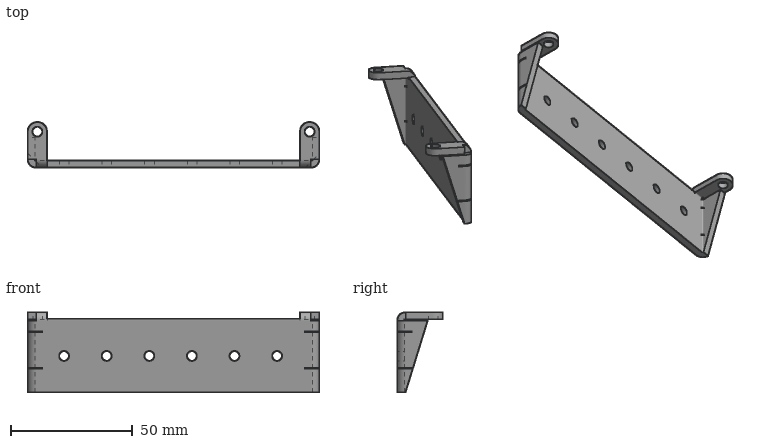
import cadquery as cq
import math

length = 120.0
depth = 18.8
height = 33.0

sheet = 3.0
bend_radius = 3.5
inner_radius = bend_radius - sheet
wall_top = height - bend_radius

flange_depth = 12.6
ear_width = 8.0
lip_top = 30.4

hole_diameter = 4.0
wall_hole_count = 6
first_hole_x = 15.0
hole_pitch = 17.5
wall_hole_z = 15.0

slit_levels = (10.0, 25.0)
slit_height = 0.5
slit_reach = 6.0


def mirrored(half):
    """Join a left-hand feature with its copy at the right-hand end."""
    plane_point = (length / 2, 0, 0)
    return half.union(half.mirror("YZ", plane_point))


def bend_section(plane):
    """Quarter ring whose outer arc is tangent to both local axes."""
    diagonal = math.sqrt(0.5)
    outer_middle = bend_radius - bend_radius * diagonal
    inner_middle = bend_radius - inner_radius * diagonal
    return (
        cq.Workplane(plane)
        .moveTo(0, bend_radius)
        .threePointArc((outer_middle, outer_middle), (bend_radius, 0))
        .lineTo(bend_radius, sheet)
        .threePointArc((inner_middle, inner_middle), (sheet, bend_radius))
        .close()
    )


def make_wall():
    flat_length = length - 2 * bend_radius
    return cq.Workplane("XY").box(flat_length, sheet, wall_top, centered=False).translate((bend_radius, 0, 0))


def make_flange():
    """Vertical corner bend and the tapered flange behind it."""
    bend = bend_section("XY").extrude(wall_top)
    flange = (
        cq.Workplane("YZ")
        .moveTo(bend_radius, 0)
        .lineTo(flange_depth, wall_top)
        .lineTo(bend_radius, wall_top)
        .close()
        .extrude(sheet)
    )
    return bend.union(flange)


def make_top_bend():
    """Bend along the wall top, trimmed to a low lip between the ears."""
    plane = cq.Plane(origin=(bend_radius, 0, height), xDir=(0, 1, 0), normal=(-1, 0, 0))
    bend = bend_section(plane).extrude(-(length - 2 * bend_radius))
    gap_length = length - 2 * ear_width
    above_lip = cq.Workplane("XY").box(gap_length, bend_radius, height - lip_top, centered=False)
    behind_lip = cq.Workplane("XY").box(gap_length, inner_radius, bend_radius, centered=False)
    bend = bend.cut(above_lip.translate((ear_width, 0, lip_top)))
    return bend.cut(behind_lip.translate((ear_width, sheet, wall_top)))


def make_ear():
    """Horizontal ear with a round end and a hole at the centre of the round."""
    radius = ear_width / 2
    round_y = depth - radius
    ear = (
        cq.Workplane("XY", origin=(0, 0, height - sheet))
        .moveTo(0, bend_radius)
        .lineTo(ear_width, bend_radius)
        .lineTo(ear_width, round_y)
        .threePointArc((radius, depth), (0, round_y))
        .close()
        .extrude(sheet)
    )
    hole = (
        cq.Workplane("XY", origin=(0, 0, height - sheet))
        .center(radius, round_y)
        .circle(hole_diameter / 2)
        .extrude(sheet)
    )
    return ear.cut(hole)


def make_slits():
    """Triangular cuts that stop on a diagonal face inside each corner bend."""
    slits = cq.Workplane("XY")
    for level in slit_levels:
        slit = (
            cq.Workplane("XY", origin=(0, 0, level - slit_height / 2))
            .polyline([(0, 0), (slit_reach, 0), (0, slit_reach)])
            .close()
            .extrude(slit_height)
        )
        slits = slits.union(slit)
    return slits


def make_wall_holes():
    centres = [(first_hole_x + i * hole_pitch, wall_hole_z) for i in range(wall_hole_count)]
    return cq.Workplane("XZ").pushPoints(centres).circle(hole_diameter / 2).extrude(-sheet)


result = make_wall().union(make_top_bend())
result = result.union(mirrored(make_flange())).union(mirrored(make_ear()))
result = result.cut(mirrored(make_slits())).cut(make_wall_holes())